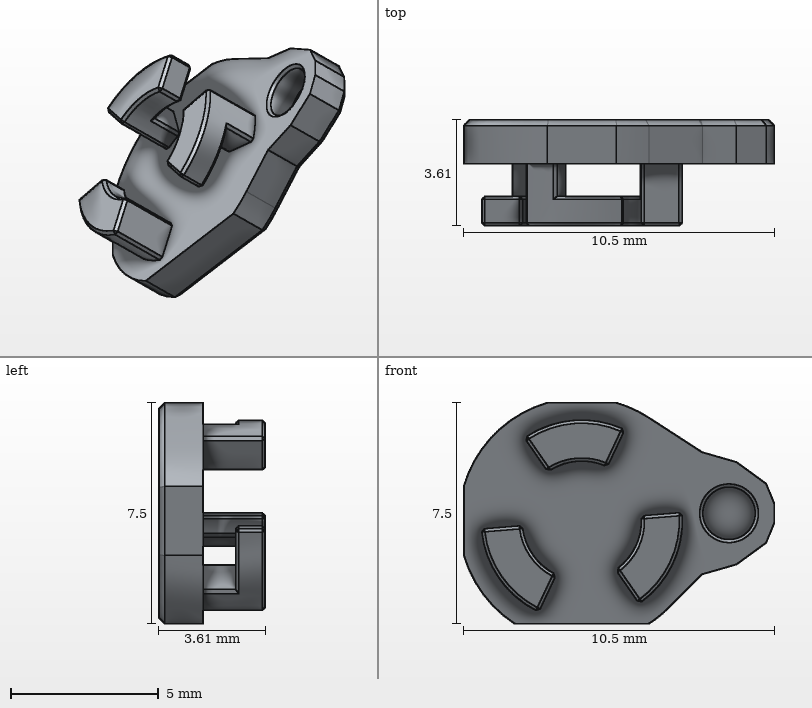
import cadquery as cq
import math

PLATE_THICKNESS = 1.5
PLATE_RADIUS = 4.17
PLATE_BACK_CHAMFER = 0.2
CHAMFER_ANGLE = 45.0
LEFT_FLAT_X = -4.0
TOP_FLAT_Z = 4.0
BOTTOM_FLAT_Z = -3.5

HOLE_X = 4.99
HOLE_Z = 0.25
HOLE_DIAMETER = 1.78
HOLE_DEPTH = 1.0
HOLE_CHAMFER = 0.11
TAB_CORNERS = [(-0.92, 2.07), (0.25, 1.74), (1.26, 1.0), (1.54, 0.33)]

LUG_COUNT = 3
LUG_OUTER_RADIUS = 3.41
LUG_INNER_RADIUS = 2.02
LUG_HEIGHT = 2.11
FLANGE_THICKNESS = 1.0
FLANGE_ANGLE = 60.0
POST_ANGLE = 20.0
FIRST_LUG_ANGLE = 104.7
LUG_CHAMFER = 0.11


def polar(radius, degrees):
    angle = math.radians(degrees)
    return radius * math.cos(angle), radius * math.sin(angle)


def tangent_point(corner, side):
    """Where the line from an outer corner touches the disc; side is 1 for above, -1 for below."""
    direction = math.degrees(math.atan2(corner[1], corner[0]))
    spread = math.degrees(math.acos(PLATE_RADIUS / math.hypot(*corner)))
    return polar(PLATE_RADIUS, direction + side * spread)


def half_chord(distance):
    """Half length of the disc's chord at a distance from its centre."""
    return math.sqrt(PLATE_RADIUS**2 - distance**2)


def arc_to(outline, start, end):
    """Continue the outline along the disc by the short way from start to end."""
    middle_direction = math.atan2(start[1] + end[1], start[0] + end[0])
    return outline.threePointArc(polar(PLATE_RADIUS, math.degrees(middle_direction)), end)


def make_plate():
    upper_tab = [(HOLE_X + x, HOLE_Z + z) for x, z in TAB_CORNERS]
    lower_tab = [(HOLE_X + x, HOLE_Z - z) for x, z in reversed(TAB_CORNERS)]
    upper_tangent = tangent_point(upper_tab[0], 1)
    lower_tangent = tangent_point(lower_tab[-1], -1)
    top_right = (half_chord(TOP_FLAT_Z), TOP_FLAT_Z)
    top_left = (-half_chord(TOP_FLAT_Z), TOP_FLAT_Z)
    left_top = (LEFT_FLAT_X, half_chord(LEFT_FLAT_X))
    left_bottom = (LEFT_FLAT_X, -half_chord(LEFT_FLAT_X))
    bottom_left = (-half_chord(BOTTOM_FLAT_Z), BOTTOM_FLAT_Z)
    bottom_right = (half_chord(BOTTOM_FLAT_Z), BOTTOM_FLAT_Z)

    outline = cq.Workplane("XZ").moveTo(*top_left).lineTo(*top_right)
    outline = arc_to(outline, top_right, upper_tangent)
    for corner in upper_tab + lower_tab + [lower_tangent]:
        outline = outline.lineTo(*corner)
    outline = arc_to(outline, lower_tangent, bottom_right).lineTo(*bottom_left)
    outline = arc_to(outline, bottom_left, left_bottom).lineTo(*left_top)
    outline = arc_to(outline, left_top, top_left).close()
    straight_part = outline.extrude(PLATE_BACK_CHAMFER - PLATE_THICKNESS)
    back_face = straight_part.faces(">Y")
    return back_face.wires().toPending().workplane().extrude(PLATE_BACK_CHAMFER, taper=CHAMFER_ANGLE)


def make_hole():
    bore = cq.Workplane("XZ").center(HOLE_X, HOLE_Z).circle(HOLE_DIAMETER / 2).extrude(-HOLE_DEPTH)
    mouth = (
        cq.Workplane("XZ")
        .center(HOLE_X, HOLE_Z)
        .circle(HOLE_DIAMETER / 2 + HOLE_CHAMFER)
        .extrude(-HOLE_CHAMFER, taper=CHAMFER_ANGLE)
    )
    return bore.union(mouth)


def ring_sector(start_angle, end_angle, height):
    """Sector between the lug radii, rising from the plate's front face."""
    middle_angle = (start_angle + end_angle) / 2
    return (
        cq.Workplane("XZ")
        .moveTo(*polar(LUG_INNER_RADIUS, start_angle))
        .lineTo(*polar(LUG_OUTER_RADIUS, start_angle))
        .threePointArc(polar(LUG_OUTER_RADIUS, middle_angle), polar(LUG_OUTER_RADIUS, end_angle))
        .lineTo(*polar(LUG_INNER_RADIUS, end_angle))
        .threePointArc(polar(LUG_INNER_RADIUS, middle_angle), polar(LUG_INNER_RADIUS, start_angle))
        .close()
        .extrude(height)
    )


def make_lug():
    """Lug whose gap-side post face lies along the X axis."""
    flange_start = POST_ANGLE - FLANGE_ANGLE
    gap_height = LUG_HEIGHT - FLANGE_THICKNESS
    gap = ring_sector(flange_start, 0, gap_height)
    lug = ring_sector(flange_start, POST_ANGLE, LUG_HEIGHT).cut(gap)
    return lug.edges("not (|X or >Y)").chamfer(LUG_CHAMFER)


result = make_plate().cut(make_hole())
lug = make_lug()
for index in range(LUG_COUNT):
    angle = FIRST_LUG_ANGLE + index * 360 / LUG_COUNT
    result = result.union(lug.rotate((0, 0, 0), (0, -1, 0), angle))